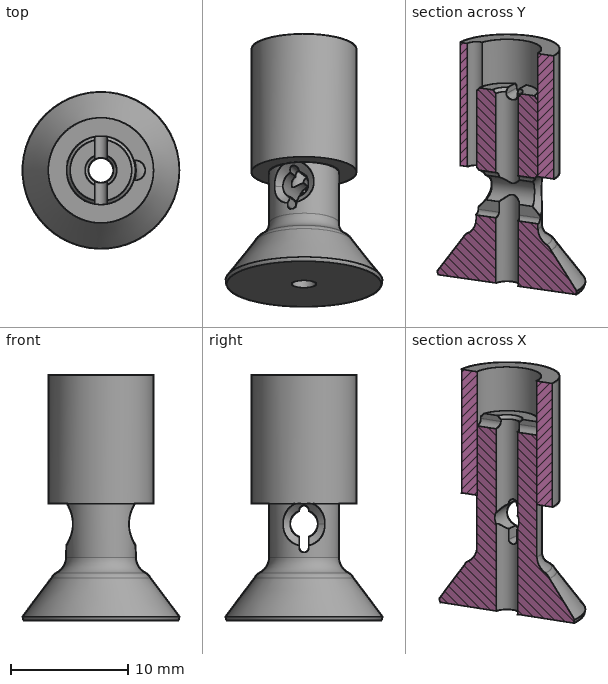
import cadquery as cq
import math

total_height = 21.0
sleeve_length = 11.0
sleeve_base = total_height - sleeve_length

sleeve_diameter = 9.0
bore_diameter = 5.86
keyway_radius = 0.85

neck_radius = 6.0 / 2
plug_radius = bore_diameter / 2
plug_top_depth = 3.8
plug_top = total_height - plug_top_depth
plug_chamfer = 0.3
top_slot_width = 1.08
top_slot_depth = 1.0
axial_hole_diameter = 2.1

foot_radius = 13.43 / 2
lip_height = 0.35
lip_inset = 0.11
lip_round_radius = (lip_inset**2 + lip_height**2) / (2 * lip_inset)
cone_top_radius = 4.22
cone_top = 3.68
fillet_radius = 1.5
fillet_top = 5.43
fillet_bottom = 4.1
fillet_drop = fillet_top - fillet_bottom
fillet_bottom_radius = neck_radius + fillet_radius - math.sqrt(fillet_radius**2 - fillet_drop**2)

keyhole_height = 8.27
keyhole_diameter = 2.33
keyhole_chamfer = 0.72
selection_margin = 0.3
keyhole_slot_width = 0.8
keyhole_slot_bottom = 5.85
keyhole_slot_top = 9.83


def make_sleeve():
    """Tube with a round keyway along the +X side of its bore."""
    tube = (
        cq.Workplane("XY", origin=(0, 0, sleeve_base))
        .circle(sleeve_diameter / 2)
        .circle(bore_diameter / 2)
        .extrude(sleeve_length)
    )
    keyway = (
        cq.Workplane("XY", origin=(bore_diameter / 2, 0, sleeve_base))
        .circle(keyway_radius)
        .extrude(sleeve_length)
    )
    return tube.cut(keyway)


def make_stem_blank():
    """Neck and foot at full neck width: half outline, from the top down, spun about Z."""
    return (
        cq.Workplane("XZ")
        .moveTo(0, plug_top)
        .lineTo(neck_radius, plug_top)
        .lineTo(neck_radius, fillet_top)
        .tangentArcPoint((fillet_bottom_radius, fillet_bottom), relative=False)
        .tangentArcPoint((cone_top_radius, cone_top), relative=False)
        .lineTo(foot_radius, lip_height)
        .radiusArc((foot_radius - lip_inset, 0), lip_round_radius)
        .lineTo(0, 0)
        .close()
        .revolve(360, (0, 0, 0), (0, 1, 0))
    )


def cut_keyhole(stem):
    """Cross hole, chamfered where it breaks out of the neck, with a narrow round-ended slot through it."""
    side = cq.Workplane("YZ", origin=(-neck_radius, 0, 0))
    hole = (
        side.center(0, keyhole_height)
        .circle(keyhole_diameter / 2)
        .extrude(2 * neck_radius)
    )
    half = keyhole_diameter / 2 + selection_margin
    reach = neck_radius + selection_margin
    hole_zone = cq.selectors.BoxSelector(
        (-reach, -half, keyhole_height - half),
        (reach, half, keyhole_height + half),
        boundingbox=True,
    )
    drilled = stem.cut(hole)
    drilled = drilled.edges(hole_zone).edges("not |X").chamfer(keyhole_chamfer)
    slot = (
        side.center(0, (keyhole_slot_bottom + keyhole_slot_top) / 2)
        .slot2D(keyhole_slot_top - keyhole_slot_bottom, keyhole_slot_width, 90)
        .extrude(2 * neck_radius)
    )
    return drilled.cut(slot)


def turn_down_plug(stem):
    """Thin the stem above the neck so it fits the bore, and chamfer its rim."""
    waste = (
        cq.Workplane("XY", origin=(0, 0, sleeve_base))
        .circle(neck_radius)
        .extrude(plug_top - sleeve_base)
    )
    plug = (
        cq.Workplane("XY", origin=(0, 0, sleeve_base))
        .circle(plug_radius)
        .extrude(plug_top - sleeve_base)
        .faces(">Z")
        .chamfer(plug_chamfer)
    )
    return stem.cut(waste.cut(plug))


def cut_axial_hole(stem):
    """Hole down the full length of the axis, chamfered at its top."""
    radius = axial_hole_diameter / 2
    cutter = (
        cq.Workplane("XZ")
        .lineTo(radius, 0)
        .lineTo(radius, plug_top - plug_chamfer)
        .lineTo(radius + plug_chamfer, plug_top)
        .lineTo(0, plug_top)
        .close()
        .revolve(360, (0, 0, 0), (0, 1, 0))
    )
    return stem.cut(cutter)


def cut_top_slot(stem):
    """Round-bottomed screwdriver slot across the stem top along Y."""
    radius = top_slot_width / 2
    floor_center = plug_top - top_slot_depth + radius
    slot = (
        cq.Workplane("XZ", origin=(0, neck_radius, 0))
        .moveTo(-radius, plug_top)
        .lineTo(-radius, floor_center)
        .threePointArc((0, floor_center - radius), (radius, floor_center))
        .lineTo(radius, plug_top)
        .close()
        .extrude(2 * neck_radius)
    )
    return stem.cut(slot)


sleeve = make_sleeve()
stem = make_stem_blank()
stem = cut_keyhole(stem)
stem = turn_down_plug(stem)
stem = cut_axial_hole(stem)
stem = cut_top_slot(stem)

result = cq.Compound.makeCompound([sleeve.val(), *stem.vals()])